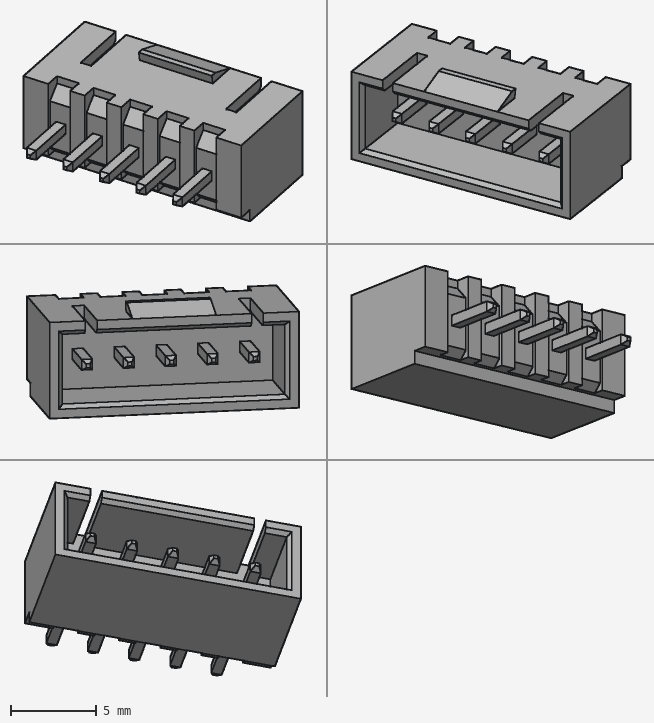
import cadquery as cq

HOUSING_LENGTH = 14.9
HOUSING_DEPTH = 7.0
HOUSING_HEIGHT = 5.8

STEP_DEPTH = 1.0
STEP_HEIGHT = 0.8

WALL = 0.8
CAVITY_DEPTH = 4.0
LEAD_IN = 0.25

PIN_COUNT = 5
PIN_PITCH = 2.5
PIN_SIZE = 0.64
PIN_TIP_SIZE = 0.24
PIN_TIP_LENGTH = 0.35
PIN_FRONT_REACH = 3.5
PIN_BACK_SETBACK = 0.8
PIN_Z = HOUSING_HEIGHT / 2

CHANNEL_WIDTH = 1.5
CHANNEL_DEPTH = 1.0
PAD_SETBACK = 0.2
PAD_HALF_HEIGHT = 1.6

SLOT_WIDTH = 0.7
SLOT_OUTER_X = PIN_PITCH * (PIN_COUNT - 1) / 2 + PIN_SIZE / 2

WEDGE_WIDTH = 5.0
WEDGE_HEIGHT = 0.59
WEDGE_DEPTH = 2.1
WEDGE_RAMP = 1.7
WEDGE_UNDERCUT = 0.1

pin_positions = [(i - (PIN_COUNT - 1) / 2) * PIN_PITCH for i in range(PIN_COUNT)]


def block(x_range, y_range, z_range):
    """Axis-aligned box from its three (low, high) ranges."""
    spans = [high - low for low, high in (x_range, y_range, z_range)]
    corner = (x_range[0], y_range[0], z_range[0])
    return cq.Workplane("XY").box(*spans, centered=False).translate(corner)


def side_profile(points, width, center_x=0):
    """(Y, Z) outline extruded along X, centred on center_x."""
    outline = cq.Workplane("YZ").polyline(points).close()
    return outline.extrude(width / 2, both=True).translate((center_x, 0, 0))


def make_housing():
    """Outer block with the notch under its front edge."""
    points = [
        (STEP_DEPTH, 0),
        (HOUSING_DEPTH, 0),
        (HOUSING_DEPTH, HOUSING_HEIGHT),
        (0, HOUSING_HEIGHT),
        (0, STEP_HEIGHT),
        (STEP_DEPTH, STEP_HEIGHT),
    ]
    return side_profile(points, HOUSING_LENGTH)


def make_cavity():
    """Mating cavity with a 45 degree lead-in around its mouth."""
    width = HOUSING_LENGTH - 2 * WALL
    height = HOUSING_HEIGHT - 2 * WALL
    mouth = cq.Workplane("XZ", origin=(0, HOUSING_DEPTH, HOUSING_HEIGHT / 2))
    cavity = mouth.rect(width, height).extrude(CAVITY_DEPTH)
    lead_in = (
        mouth.rect(width + 2 * LEAD_IN, height + 2 * LEAD_IN)
        .workplane(offset=LEAD_IN)
        .rect(width, height)
        .loft(ruled=True)
    )
    return cavity.union(lead_in)


def make_channel(center_x):
    """Front channel whose floor steps forward, at 45 degrees, to a pad around the contact."""
    slope = CHANNEL_DEPTH - PAD_SETBACK
    pad_top = PIN_Z + PAD_HALF_HEIGHT
    pad_bottom = PIN_Z - PAD_HALF_HEIGHT
    notch_y = PAD_SETBACK + pad_bottom - STEP_HEIGHT
    points = [
        (0, STEP_HEIGHT),
        (notch_y, STEP_HEIGHT),
        (PAD_SETBACK, pad_bottom),
        (PAD_SETBACK, pad_top),
        (CHANNEL_DEPTH, pad_top + slope),
        (CHANNEL_DEPTH, HOUSING_HEIGHT),
        (0, HOUSING_HEIGHT),
    ]
    return side_profile(points, CHANNEL_WIDTH, center_x)


def make_slot(side):
    """Slot through the top wall; side is -1 for left and +1 for right."""
    x_range = sorted((side * SLOT_OUTER_X, side * (SLOT_OUTER_X - SLOT_WIDTH)))
    y_range = (HOUSING_DEPTH - CAVITY_DEPTH, HOUSING_DEPTH)
    return block(x_range, y_range, (HOUSING_HEIGHT / 2, HOUSING_HEIGHT))


def make_wedge():
    """Locking wedge: ramp up from the back edge, short flat, undercut front face."""
    top = HOUSING_HEIGHT + WEDGE_HEIGHT
    front_y = HOUSING_DEPTH - WEDGE_DEPTH
    points = [
        (HOUSING_DEPTH, HOUSING_HEIGHT),
        (HOUSING_DEPTH - WEDGE_RAMP, top),
        (front_y, top),
        (front_y + WEDGE_UNDERCUT, HOUSING_HEIGHT),
    ]
    return side_profile(points, WEDGE_WIDTH)


def make_pin(center_x):
    """Square contact through the housing, tapered at both ends."""
    back_y = HOUSING_DEPTH - PIN_BACK_SETBACK
    length = PIN_FRONT_REACH + back_y
    shank_length = length - 2 * PIN_TIP_LENGTH
    start = cq.Workplane("XZ", origin=(center_x, back_y - PIN_TIP_LENGTH, PIN_Z))
    shank = start.rect(PIN_SIZE, PIN_SIZE).extrude(shank_length)
    back_tip = (
        start.rect(PIN_SIZE, PIN_SIZE)
        .workplane(offset=-PIN_TIP_LENGTH)
        .rect(PIN_TIP_SIZE, PIN_TIP_SIZE)
        .loft(ruled=True)
    )
    front_tip = (
        start.workplane(offset=shank_length)
        .rect(PIN_SIZE, PIN_SIZE)
        .workplane(offset=PIN_TIP_LENGTH)
        .rect(PIN_TIP_SIZE, PIN_TIP_SIZE)
        .loft(ruled=True)
    )
    return shank.union(back_tip).union(front_tip)


result = make_housing().cut(make_cavity())
for side in (-1, 1):
    result = result.cut(make_slot(side))
for pin_x in pin_positions:
    result = result.cut(make_channel(pin_x))
result = result.union(make_wedge())
for pin_x in pin_positions:
    result = result.union(make_pin(pin_x))